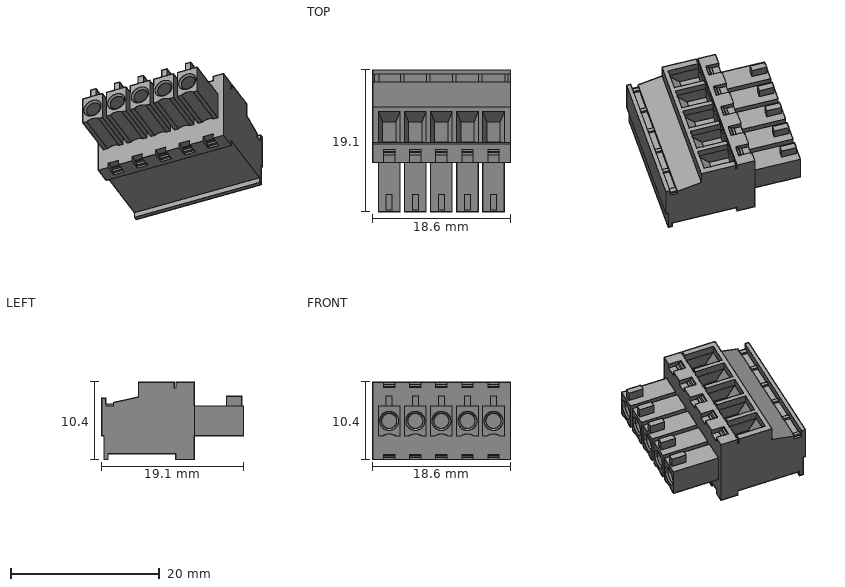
import cadquery as cq

width = 18.55
length = 19.1
height = 10.4
pole_count = 5
pole_span = 14.02
pitch = pole_span / (pole_count - 1)
mid_height = height / 2
first_pole = 2.23
pole_positions = [first_pole + pitch * i for i in range(pole_count)]

face_y = 6.63
front_foot_length = 2.52
foot_height = 0.78
rear_face_y = 18.78
rear_foot_length = 0.57
rear_step_z = 3.2
flange_thickness = 0.57
flange_top = 8.25
gutter_width = 1.03
gutter_floor = 7.2
ramp_low = 7.7
ramp_high = 8.42
ramp_top_y = 14.13
slit_front_y = 9.11
slit_width = 0.2
slit_depth = 0.76

bar_width = 0.45
left_bar_extra = 0.15
bar_height = 0.3
first_bar_x = 0.25

plug_width = 2.92
plug_height = 4.01
groove_width = 1.72
groove_rise = 0.25
hole_diameter = 2.02
mouth_diameter = 2.55
mouth_depth = 0.27
hole_depth = 5.73
key_width = 0.8
key_length = 2.08
key_setback = 0.25
key_height = 1.34

well_rear_y = 13.52
well_straight_depth = 1.1
well_depth = 2.31
well_floor_width = 1.8
well_floor_rear_y = 12.09
well_floor_front_gap = 0.1

latch_width = 1.5
latch_depth = 0.7
latch_tread_depth = 0.55
latch_ledge_depth = 0.3
latch_floor_length = 1.01
latch_tread_length = 0.32
latch_slope_length = 0.15
latch_length = 1.8


def centered_box(center_x, size_x, y_start, size_y, z_start, size_z):
    corner = (center_x - size_x / 2, y_start, z_start)
    return cq.Workplane("XY").box(size_x, size_y, size_z, centered=False).translate(corner)


def extrude_along_x(points, x_start, size_x):
    return cq.Workplane("YZ", origin=(x_start, 0, 0)).polyline(points).close().extrude(size_x)


def housing():
    flange_y = length - flange_thickness
    gutter_y = flange_y - gutter_width
    slit_rear_y = slit_front_y + slit_width
    front_foot_y = face_y + front_foot_length
    rear_foot_y = rear_face_y - rear_foot_length
    profile = [
        (face_y, 0),
        (front_foot_y, 0),
        (front_foot_y, foot_height),
        (rear_foot_y, foot_height),
        (rear_foot_y, 0),
        (rear_face_y, 0),
        (rear_face_y, rear_step_z),
        (length, rear_step_z),
        (length, flange_top),
        (flange_y, flange_top),
        (flange_y, gutter_floor),
        (gutter_y, gutter_floor),
        (gutter_y, ramp_low),
        (ramp_top_y, ramp_high),
        (ramp_top_y, height),
        (slit_rear_y, height),
        (slit_rear_y, height - slit_depth),
        (slit_front_y, height - slit_depth),
        (slit_front_y, height),
        (face_y, height),
    ]
    return extrude_along_x(profile, 0, width)


def gutter_bar(x_start, size_x):
    y_start = length - flange_thickness - gutter_width
    return centered_box(x_start + size_x / 2, size_x, y_start, gutter_width, gutter_floor, bar_height)


def plug(x):
    bottom = mid_height - plug_height / 2
    body = (
        cq.Workplane("XZ", origin=(x, 0, bottom))
        .moveTo(-plug_width / 2, 0)
        .lineTo(-groove_width / 2, 0)
        .threePointArc((0, groove_rise), (groove_width / 2, 0))
        .lineTo(plug_width / 2, 0)
        .lineTo(plug_width / 2, plug_height)
        .lineTo(-plug_width / 2, plug_height)
        .close()
        .extrude(-face_y)
    )
    key = centered_box(x, key_width, key_setback, key_length, bottom + plug_height, key_height)
    return body.union(key)


def plug_hole(x):
    bore = cq.Workplane("XZ", origin=(x, 0, mid_height)).circle(hole_diameter / 2).extrude(-hole_depth)
    cone = cq.Solid.makeCone(
        mouth_diameter / 2, hole_diameter / 2, mouth_depth,
        cq.Vector(x, 0, mid_height), cq.Vector(0, 1, 0),
    )
    return bore.union(cq.Workplane(cone))


def screw_well(x):
    front_y = slit_front_y + slit_width
    size_y = well_rear_y - front_y
    straight_z = height - well_straight_depth
    floor_front_y = front_y + well_floor_front_gap
    floor_size_y = well_floor_rear_y - floor_front_y
    straight = centered_box(x, plug_width, front_y, size_y, straight_z, well_straight_depth)
    funnel = (
        cq.Workplane("XY", origin=(x, front_y + size_y / 2, straight_z))
        .rect(plug_width, size_y)
        .workplane(offset=well_straight_depth - well_depth)
        .center(0, floor_front_y + floor_size_y / 2 - front_y - size_y / 2)
        .rect(well_floor_width, floor_size_y)
        .loft(ruled=True)
    )
    return straight.union(funnel)


def latch_pocket(x):
    tread_y = face_y + latch_floor_length
    slope_y = tread_y + latch_tread_length
    ledge_y = slope_y + latch_slope_length
    rear_y = face_y + latch_length
    profile = [
        (face_y, height),
        (face_y, height - latch_depth),
        (tread_y, height - latch_depth),
        (tread_y, height - latch_tread_depth),
        (slope_y, height - latch_tread_depth),
        (ledge_y, height - latch_ledge_depth),
        (rear_y, height - latch_ledge_depth),
        (rear_y, height),
    ]
    return extrude_along_x(profile, x - latch_width / 2, latch_width)


result = housing()

for i in range(1, pole_count + 1):
    result = result.union(gutter_bar(first_bar_x + pitch * i, bar_width))
result = result.union(gutter_bar(first_bar_x, bar_width + left_bar_extra))

for x in pole_positions:
    upper_latch = latch_pocket(x)
    lower_latch = upper_latch.mirror("XY", (0, 0, mid_height))
    result = result.union(plug(x))
    result = result.cut(plug_hole(x)).cut(screw_well(x))
    result = result.cut(upper_latch).cut(lower_latch)